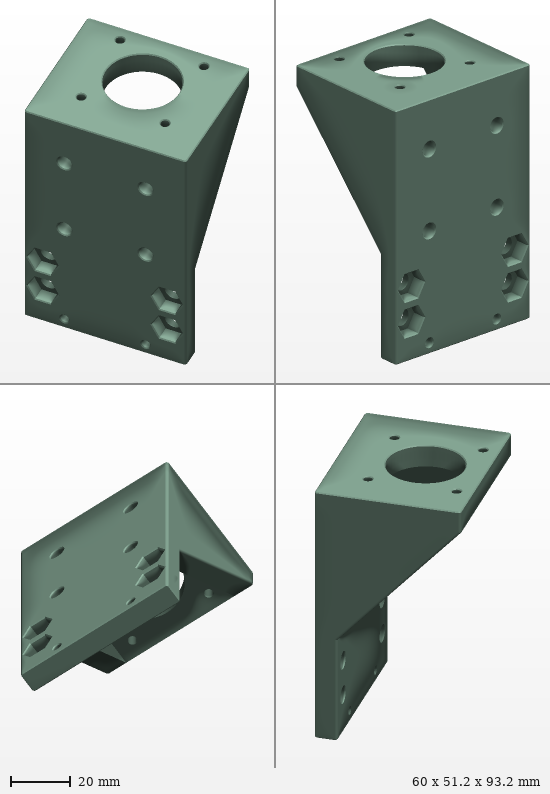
import cadquery as cq
import math

width = 60.0
depth = 51.2
height = 93.15

plate_thickness = 8.0
gusset_foot_height = 38.0

edge_fillet = 1.0
rim_chamfer = 0.4
hole_chamfer = 0.4

bore_diameter = 27.0
bore_center_y = 30.0
motor_hole_spacing = 31.0
small_hole_diameter = 3.2

mount_hole_diameter = 5.3
mount_hole_spacing = 30.0
mount_hole_center_z = 60.0
foot_hole_z = 4.0

bolt_hole_diameter = 6.4
bolt_spacing_x = 45.9
bolt_spacing_z = 13.0
bolt_center_z = 20.5
nut_across_flats = 10.0
nut_pocket_depth = 5.2


def make_body():
    """Solid bracket profile with rounded side edges and chamfered rims at top and foot."""
    profile = [
        (0, 0),
        (plate_thickness, 0),
        (plate_thickness, gusset_foot_height),
        (depth, height - plate_thickness),
        (depth, height),
        (0, height),
    ]
    body = cq.Workplane("YZ").polyline(profile).close().extrude(width / 2, both=True)
    side_edges = body.faces("<X or >X").edges("not |Y")
    body = body.newObject(side_edges.vals()).fillet(edge_fillet)
    body = body.faces(">Z").edges().chamfer(rim_chamfer)
    return body.faces("<Z").edges().chamfer(rim_chamfer)


def cut_motor_bay(body):
    """Open the space behind the upright plate and under the top plate."""
    bay_width = width - 2 * plate_thickness
    bay = cq.Workplane("XY").box(
        bay_width, depth, height - plate_thickness, centered=(True, False, False)
    )
    return body.cut(bay.translate((0, plate_thickness, 0)))


def top_plane():
    """Workplane on the top face, with its origin on the bore axis."""
    return cq.Workplane("XY", origin=(0, bore_center_y, height))


def front_plane(center_z):
    """Workplane on the front face at the given height, facing out of the part."""
    return cq.Workplane("XZ", origin=(0, 0, center_z))


def chamfered_opening(sketch_opening, size, opening_depth):
    """Straight opening sunk from the workplane, with a 45-degree chamfer around its mouth."""
    opening = sketch_opening(size).extrude(-opening_depth)
    mouth = sketch_opening(size + 2 * hole_chamfer).extrude(-hole_chamfer, taper=45)
    return opening.union(mouth)


def round_holes(plane, centers, diameter):
    """Holes through one plate, chamfered at the mouth."""
    def circles(size):
        return plane.pushPoints(centers).circle(size / 2)

    return chamfered_opening(circles, diameter, plate_thickness)


def nut_pockets(plane, centers):
    """Hexagonal pockets with two flats level, chamfered at the mouth."""
    def hexagons(across_flats):
        return plane.pushPoints(centers).polygon(6, across_flats / math.cos(math.pi / 6))

    return chamfered_opening(hexagons, nut_across_flats, nut_pocket_depth)


def grid(spacing_x, spacing_y):
    """Four points at the corners of a centred rectangle."""
    return [(i * spacing_x / 2, j * spacing_y / 2) for i in (-1, 1) for j in (-1, 1)]


result = cut_motor_bay(make_body())

motor_holes = grid(motor_hole_spacing, motor_hole_spacing)
result = result.cut(round_holes(top_plane(), [(0, 0)], bore_diameter))
result = result.cut(round_holes(top_plane(), motor_holes, small_hole_diameter))

mount_holes = grid(mount_hole_spacing, mount_hole_spacing)
foot_holes = [(side * mount_hole_spacing / 2, 0) for side in (-1, 1)]
result = result.cut(round_holes(front_plane(mount_hole_center_z), mount_holes, mount_hole_diameter))
result = result.cut(round_holes(front_plane(foot_hole_z), foot_holes, small_hole_diameter))

bolt_holes = grid(bolt_spacing_x, bolt_spacing_z)
bolt_plane = front_plane(bolt_center_z)
result = result.cut(round_holes(bolt_plane, bolt_holes, bolt_hole_diameter))
result = result.cut(nut_pockets(bolt_plane, bolt_holes))